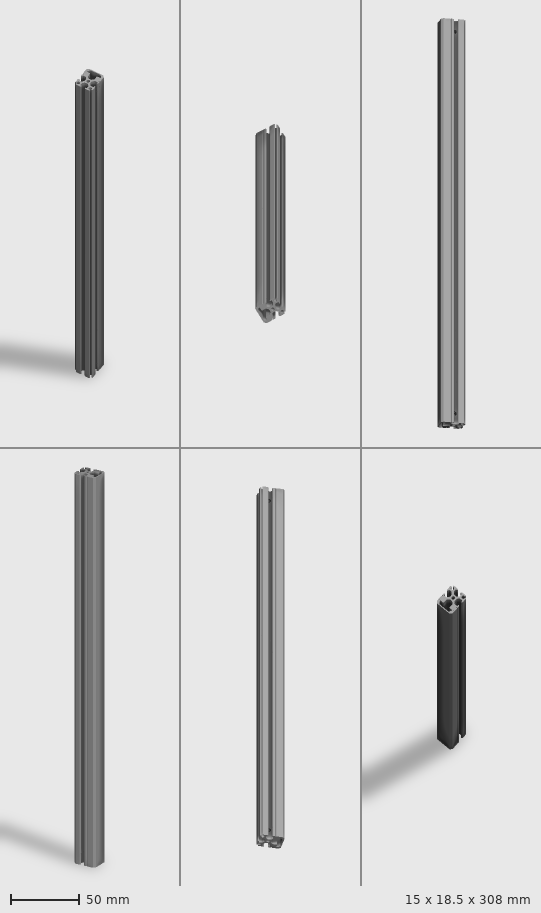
import cadquery as cq
import math

length = 308.0
width = 15.0
height = 18.5
half = width / 2

flange_thickness = 1.08
flange_inner = half - flange_thickness
slot_half = 1.42
slot_root_half = 2.83
floor_half = 1.2
floor_depth = 2.4
slope_top = floor_depth + slot_root_half - floor_half
bore_radius = 1.3
lip_round = 1.02
root_round = 0.5
floor_round = 2.0

relief_center = 5.2
relief_radius = flange_inner - relief_center
tip_radius = flange_thickness / 2
tip_reach = 0.3
tip_depth = half - tip_radius

cross_hole_radius = 1.5
cross_hole_inset = 8.3

cover_top = height - half
cover_chamfer = 1.5
roof_thickness = 0.77
roof_underside = cover_top - roof_thickness
roof_half = 4.3
skirt_thickness = 1.0
skirt_inner = half - skirt_thickness
haunch_width = 1.0
haunch_inner = skirt_inner - haunch_width
haunch_height = 1.0
skirt_bottom = 4.0
skirt_round = 0.77
hook_inner = 5.0
hook_top = 6.2
hook_round = 0.77

shoulder = 3.7
shoulder_round = 0.15
crest_round = 0.45


def mirrored(points):
    """Close a right-hand outline with its mirror image across the YZ plane."""
    return points + [(-x, y) for x, y in reversed(points)]


def turned(points, angle):
    """Rotate points about the beam axis."""
    c = math.cos(math.radians(angle))
    s = math.sin(math.radians(angle))
    return [(x * c - y * s, x * s + y * c) for x, y in points]


def prism(points):
    """Extrude a closed outline over the full length."""
    return cq.Workplane("XY").polyline(points).close().extrude(length)


def bar(x_size, y_size, center):
    """Full-length rectangular bar."""
    return cq.Workplane("XY").center(*center).rect(x_size, y_size).extrude(length)


def rod(radius, center):
    """Full-length round bar."""
    return cq.Workplane("XY").center(*center).circle(radius).extrude(length)


def flange_tip(center, angle):
    """Full-length round-ended bar that carries a flange past the corner hollow."""
    bar_length = 2 * (tip_reach + tip_radius)
    profile = cq.Workplane("XY").center(*center).slot2D(bar_length, 2 * tip_radius, angle)
    return profile.extrude(length)


def round_edges(body, corners, radius):
    """Fillet the lengthwise edges that pass through the given corners."""
    edges = []
    for x, y in corners:
        nearest = cq.NearestToPointSelector((x, y, length / 2))
        edges.extend(body.edges("|Z").edges(nearest).vals())
    return body.newObject([body.val().fillet(radius, edges)])


def t_slot(angle):
    """Slot with sloped root walls, narrowed at its mouth by the flanges."""
    outline = mirrored([
        (floor_half, floor_depth),
        (slot_root_half, slope_top),
        (slot_root_half, flange_inner),
        (slot_half, flange_inner),
        (slot_half, half),
    ])
    slot = prism(turned(outline, angle))
    slot = round_edges(slot, turned(mirrored([(slot_root_half, slope_top)]), angle), root_round)
    return round_edges(slot, turned(mirrored([(floor_half, floor_depth)]), angle), floor_round)


def open_channel():
    """Slot under the cover, with the same root but no flanges."""
    channel = prism(mirrored([
        (floor_half, floor_depth),
        (slot_root_half, slope_top),
        (slot_root_half, half),
    ]))
    channel = round_edges(channel, mirrored([(slot_root_half, slope_top)]), root_round)
    return round_edges(channel, mirrored([(floor_half, floor_depth)]), floor_round)


def make_cover():
    cover = prism(mirrored([
        (half - cover_chamfer, cover_top),
        (half, cover_top - cover_chamfer),
        (half, skirt_bottom),
        (hook_inner, skirt_bottom),
        (hook_inner, hook_top),
        (skirt_inner, hook_top),
        (skirt_inner, half),
        (haunch_inner, half),
        (haunch_inner, half + haunch_height),
        (roof_half, roof_underside),
    ]))
    cover = round_edges(cover, mirrored([(half, skirt_bottom)]), skirt_round)
    hook_corners = [(hook_inner, skirt_bottom), (hook_inner, hook_top)]
    return round_edges(cover, mirrored(hook_corners), hook_round)


def make_beam(cover):
    beam = bar(width, width, (0, 0)).cut(rod(bore_radius, (0, 0)))

    beam = beam.cut(open_channel())
    for angle in (90, 180, 270):
        beam = beam.cut(t_slot(angle))
        beam = round_edges(beam, turned(mirrored([(slot_half, half)]), angle), lip_round)

    notch_size = half - relief_center
    notch_center = half - notch_size / 2
    for side in (-1, 1):
        beam = beam.cut(rod(relief_radius, (side * relief_center, -relief_center)))
        beam = beam.cut(bar(notch_size, notch_size, (side * notch_center, -notch_center)))
        beam = beam.union(flange_tip((side * relief_center, -tip_depth), 0))
        beam = beam.union(flange_tip((side * tip_depth, -relief_center), 90))

    step_height = half - shoulder
    for side in (-1, 1):
        step_center = (side * (half - skirt_thickness / 2), half - step_height / 2)
        beam = beam.cut(bar(skirt_thickness, step_height, step_center))
    beam = round_edges(beam, mirrored([(half, shoulder)]), shoulder_round)
    beam = round_edges(beam, mirrored([(skirt_inner, half), (slot_root_half, half)]), crest_round)
    beam = beam.cut(cover)

    for z in (cross_hole_inset, length - cross_hole_inset):
        hole = cq.Workplane("YZ").center(0, z).circle(cross_hole_radius).extrude(half, both=True)
        beam = beam.cut(hole)
    return beam.solids()


cover = make_cover()
beam = make_beam(cover)
result = cq.Compound.makeCompound([beam.val(), cover.val()])